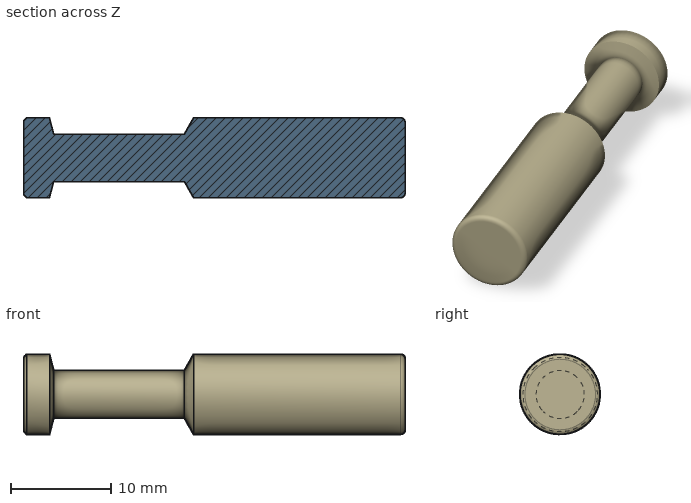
import cadquery as cq
import math

length = 38.0
outer_radius = 8.0 / 2
neck_radius = 2.4

head_chamfer = 0.3
head_rim_end = 2.6
head_end = 3.0

body_start = 16.0
body_shoulder = 16.9
tip_round = 0.5

left_end = -length / 2


def along(distance):
    """X position at a distance from the head face."""
    return left_end + distance


tip_inset = tip_round * (1 - math.sqrt(0.5))
tip_middle = (along(length - tip_inset), outer_radius - tip_inset)

half_profile = (
    cq.Workplane("XY")
    .moveTo(along(0), 0)
    .lineTo(along(0), outer_radius - head_chamfer)
    .lineTo(along(head_chamfer), outer_radius)
    .lineTo(along(head_rim_end), outer_radius)
    .lineTo(along(head_end), neck_radius)
    .lineTo(along(body_start), neck_radius)
    .lineTo(along(body_shoulder), outer_radius)
    .lineTo(along(length - tip_round), outer_radius)
    .threePointArc(tip_middle, (along(length), outer_radius - tip_round))
    .lineTo(along(length), 0)
    .close()
)

result = half_profile.revolve(360, (0, 0, 0), (1, 0, 0))